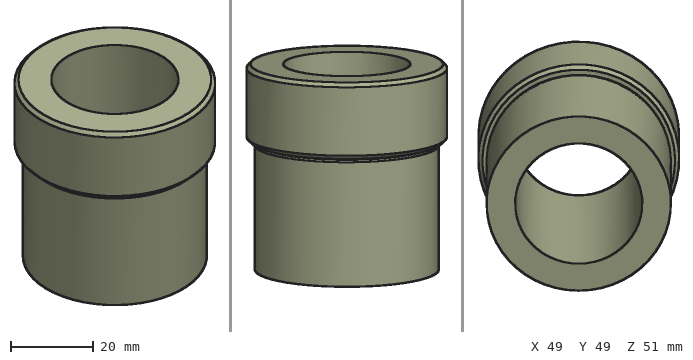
import cadquery as cq

total_height = 51.0
bore_diameter = 31.0
body_diameter = 45.0

head_diameter = 49.0
head_height = 19.0
head_chamfer = 1.0

groove_diameter = 44.0
groove_width = 1.0
groove_slope = 0.5

head_bottom = total_height - head_height
groove_bottom = head_bottom - groove_width
head_radius = head_diameter / 2
body_radius = body_diameter / 2
groove_radius = groove_diameter / 2
bore_radius = bore_diameter / 2

profile = (
    cq.Workplane("XZ")
    .moveTo(bore_radius, 0)
    .lineTo(body_radius, 0)
    .lineTo(body_radius, groove_bottom)
    .lineTo(groove_radius, groove_bottom + groove_slope)
    .lineTo(groove_radius, head_bottom)
    .lineTo(head_radius - head_chamfer, head_bottom)
    .lineTo(head_radius, head_bottom + head_chamfer)
    .lineTo(head_radius, total_height - head_chamfer)
    .lineTo(head_radius - head_chamfer, total_height)
    .lineTo(bore_radius, total_height)
    .close()
)

result = profile.revolve(360, (0, 0, 0), (0, 1, 0))